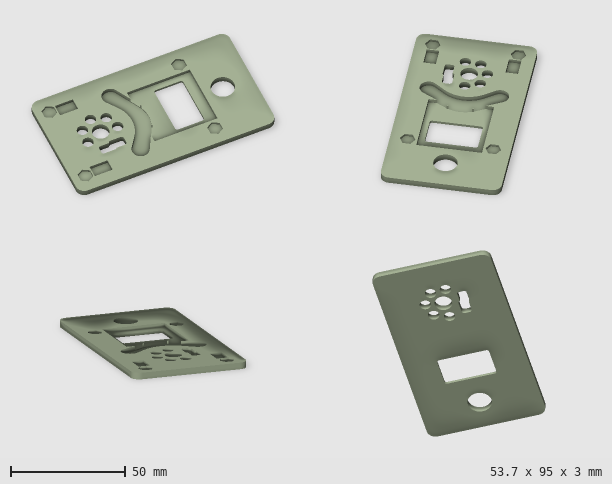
import math

import cadquery as cq

PLATE_WIDTH = 53.72
PLATE_LENGTH = 95.05
PLATE_THICKNESS = 3.0
PLATE_CORNER_RADIUS = 4.0

UPPER_HOLE_DIAMETER = 10.7
UPPER_HOLE_Y = 33.6

POCKET_WIDTH = 29.2
POCKET_TOP_Y = 24.4
POCKET_BOTTOM_Y = -5.9
POCKET_DEPTH = 1.8
WINDOW_WIDTH = 23.6
WINDOW_TOP_Y = 19.55
WINDOW_BOTTOM_Y = 5.7
WINDOW_CORNER_RADIUS = 1.0

STEP_WIDTH = 12.1
STEP_TOP_Y = -3.05

ARCH_END_RADIUS = 4.0
ARCH_END_X = 15.85
ARCH_END_Y = -13.2
ARCH_UPPER_RADIUS = 14.0
ARCH_UPPER_APEX_Y = -2.0
ARCH_LOWER_RADIUS = 15.0
ARCH_LOWER_APEX_Y = -10.15
ARCH_DEPTH = 2.3

CLUSTER_Y = -25.2
CENTRE_HOLE_DIAMETER = 7.73
RING_HOLE_DIAMETER = 5.0
RING_RADIUS = 8.0
RING_PLACES = 7
RING_HOLES = 5
RING_START_ANGLE = 86.2

SLOT_UPPER_X = (6.3, 10.9)
SLOT_UPPER_Y = (-24.5, -17.3)
SLOT_UPPER_CORNER_RADIUS = 1.25
SLOT_LOWER_X = (7.2, 11.45)
SLOT_LOWER_Y = (-29.6, -22.4)
SLOT_LOWER_CORNER_RADIUS = 1.0

HEX_SIDES = 6
HEX_FLAT_WIDTH = 6.0
HEX_SPACING_X = 38.1
HEX_SPACING_Y = 62.35
HEX_CENTRE_Y = -10.0
HEX_DEPTH = 1.15

SIDE_RECESS_WIDTH = 5.55
SIDE_RECESS_LENGTH = 8.65
SIDE_RECESS_X = 18.27
SIDE_RECESS_Y = -33.3
SIDE_RECESS_DEPTH = 1.75


def top_plane():
    """Workplane on the top face; cutters are extruded down from it."""
    return cq.Workplane("XY", origin=(0, 0, PLATE_THICKNESS))


def rectangular_block(x_range, y_range, depth):
    """Rectangular solid reaching down from the top face."""
    width = x_range[1] - x_range[0]
    length = y_range[1] - y_range[0]
    centre = (sum(x_range) / 2, sum(y_range) / 2)
    return top_plane().center(*centre).rect(width, length).extrude(-depth)


def rounded_opening(x_range, y_range, corner_radius):
    """Cutter with rounded corners through the whole plate."""
    return rectangular_block(x_range, y_range, PLATE_THICKNESS).edges("|Z").fillet(corner_radius)


def centred_range(width):
    return (-width / 2, width / 2)


def plate():
    blank = rectangular_block(
        centred_range(PLATE_WIDTH), centred_range(PLATE_LENGTH), PLATE_THICKNESS
    )
    return blank.edges("|Z").fillet(PLATE_CORNER_RADIUS)


def screen_pocket():
    pocket = rectangular_block(
        centred_range(POCKET_WIDTH), (POCKET_BOTTOM_Y, POCKET_TOP_Y), POCKET_DEPTH
    )
    step = rectangular_block(centred_range(STEP_WIDTH), (POCKET_BOTTOM_Y, STEP_TOP_Y), POCKET_DEPTH)
    return pocket.cut(step)


def screen_window():
    return rounded_opening(
        centred_range(WINDOW_WIDTH), (WINDOW_BOTTOM_Y, WINDOW_TOP_Y), WINDOW_CORNER_RADIUS
    )


def tangent_slope(arch_centre_y, radius_difference):
    """Angle of the straight run that is tangent to an arch and to the right end circle."""
    rise = arch_centre_y - ARCH_END_Y
    centre_distance = math.hypot(ARCH_END_X, rise)
    return math.asin(radius_difference / centre_distance) + math.atan2(rise, ARCH_END_X)


def tangent_point(centre_x, centre_y, radius, slope):
    """Point of a circle where its tangent falls to the right at the given angle."""
    return (centre_x + radius * math.sin(slope), centre_y + radius * math.cos(slope))


def mirrored(point):
    return (-point[0], point[1])


def arch_recess():
    upper_centre_y = ARCH_UPPER_APEX_Y - ARCH_UPPER_RADIUS
    lower_centre_y = ARCH_LOWER_APEX_Y - ARCH_LOWER_RADIUS
    upper_slope = tangent_slope(upper_centre_y, ARCH_UPPER_RADIUS - ARCH_END_RADIUS)
    lower_slope = tangent_slope(lower_centre_y, ARCH_LOWER_RADIUS + ARCH_END_RADIUS)

    upper_arch = tangent_point(0, upper_centre_y, ARCH_UPPER_RADIUS, upper_slope)
    upper_end = tangent_point(ARCH_END_X, ARCH_END_Y, ARCH_END_RADIUS, upper_slope)
    lower_end = tangent_point(ARCH_END_X, ARCH_END_Y, -ARCH_END_RADIUS, lower_slope)
    lower_arch = tangent_point(0, lower_centre_y, ARCH_LOWER_RADIUS, lower_slope)
    end_tip = (ARCH_END_X + ARCH_END_RADIUS, ARCH_END_Y)

    return (
        top_plane()
        .moveTo(*mirrored(upper_arch))
        .threePointArc((0, ARCH_UPPER_APEX_Y), upper_arch)
        .lineTo(*upper_end)
        .threePointArc(end_tip, lower_end)
        .lineTo(*lower_arch)
        .threePointArc((0, ARCH_LOWER_APEX_Y), mirrored(lower_arch))
        .lineTo(*mirrored(lower_end))
        .threePointArc(mirrored(end_tip), mirrored(upper_end))
        .close()
        .extrude(-ARCH_DEPTH)
    )


def round_hole(x, y, diameter):
    return top_plane().center(x, y).circle(diameter / 2).extrude(-PLATE_THICKNESS)


def hole_cluster():
    holes = round_hole(0, CLUSTER_Y, CENTRE_HOLE_DIAMETER)
    for place in range(RING_HOLES):
        angle = math.radians(RING_START_ANGLE + place * 360 / RING_PLACES)
        x = RING_RADIUS * math.cos(angle)
        y = CLUSTER_Y + RING_RADIUS * math.sin(angle)
        holes = holes.union(round_hole(x, y, RING_HOLE_DIAMETER))
    return holes


def stepped_slot():
    upper = rounded_opening(SLOT_UPPER_X, SLOT_UPPER_Y, SLOT_UPPER_CORNER_RADIUS)
    lower = rounded_opening(SLOT_LOWER_X, SLOT_LOWER_Y, SLOT_LOWER_CORNER_RADIUS)
    return upper.union(lower)


def hex_recesses():
    corner_diameter = HEX_FLAT_WIDTH / math.cos(math.pi / HEX_SIDES)
    return (
        top_plane()
        .center(0, HEX_CENTRE_Y)
        .rect(HEX_SPACING_X, HEX_SPACING_Y, forConstruction=True)
        .vertices()
        .polygon(HEX_SIDES, corner_diameter)
        .extrude(-HEX_DEPTH)
    )


def side_recesses():
    return (
        top_plane()
        .pushPoints([(-SIDE_RECESS_X, SIDE_RECESS_Y), (SIDE_RECESS_X, SIDE_RECESS_Y)])
        .rect(SIDE_RECESS_WIDTH, SIDE_RECESS_LENGTH)
        .extrude(-SIDE_RECESS_DEPTH)
    )


result = (
    plate()
    .cut(round_hole(0, UPPER_HOLE_Y, UPPER_HOLE_DIAMETER))
    .cut(screen_pocket())
    .cut(screen_window())
    .cut(arch_recess())
    .cut(hole_cluster())
    .cut(stepped_slot())
    .cut(hex_recesses())
    .cut(side_recesses())
)